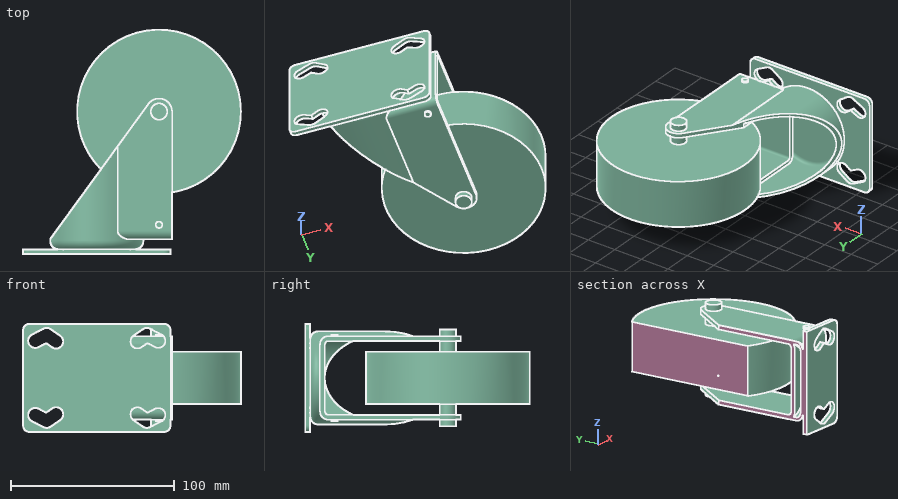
import cadquery as cq
import math


plate_length = 90.0
plate_width = 66.0
plate_thickness = 3.0
plate_corner_radius = 4.0

slot_diameter = 8.5
slot_outer_end = (37.5, 22.6)
slot_bend = (30.5, 26.2)
slot_inner_end = (24.8, 22.2)

wheel_radius = 50.0
wheel_width = 32.0
axle_x = 38.0
axle_y = 137 - wheel_radius
axle_diameter = 10.0
axle_length = 59.0

cup_radius = 28.5
cup_wall = 2.0
cup_bottom_fillet = 5.1

fork_width = 51.0
fork_wall = 3.0
fork_bottom_y = 9.0
fork_bend_radius = 5.1
fork_start_x = 8.5
arm_tip_radius = 8.0
fork_end_x = axle_x + arm_tip_radius
fork_top_y = axle_y + arm_tip_radius

slope_start_y = 9.2

rivet_y = 18.0
rivet_diameter = 4.0
rivet_projection = 1.0


def slot_leg(start, end):
    """Straight round-ended slot through the plate, from start to end in X, Z."""
    dx = end[0] - start[0]
    dz = end[1] - start[1]
    span = math.hypot(dx, dz)
    return (
        cq.Workplane("XZ")
        .center((start[0] + end[0]) / 2, (start[1] + end[1]) / 2)
        .slot2D(span + slot_diameter, slot_diameter, math.degrees(math.atan2(dz, dx)))
        .extrude(-plate_thickness)
    )


def mounting_plate():
    plate = (
        cq.Workplane("XZ")
        .rect(plate_length, plate_width)
        .extrude(-plate_thickness)
        .edges("|Y")
        .fillet(plate_corner_radius)
    )
    slot = slot_leg(slot_outer_end, slot_bend).union(slot_leg(slot_bend, slot_inner_end))
    slot_pair = slot.union(slot.mirror("YZ"))
    return plate.cut(slot_pair).cut(slot_pair.mirror("XY"))


def round_bottomed_cylinder(radius, bottom_y, fillet_radius):
    return (
        cq.Workplane("XZ", origin=(0, bottom_y, 0))
        .circle(radius)
        .extrude(bottom_y - fork_top_y)
        .faces("<Y")
        .edges()
        .fillet(fillet_radius)
    )


def channel_block(width, bottom_y, bend_radius):
    return (
        cq.Workplane("XY")
        .box(fork_end_x - fork_start_x, fork_top_y - bottom_y, width, centered=(False, False, True))
        .translate((fork_start_x, bottom_y, 0))
        .edges("|X and <Y")
        .fillet(bend_radius)
    )


def side_outline():
    """Block with the side outline of the fork: sloped edge, round arm tip, straight back."""
    run = axle_x + cup_radius
    rise = axle_y - slope_start_y
    slope = math.atan2(rise, run) + math.asin(arm_tip_radius / math.hypot(run, rise))
    mid_angle = (slope + math.pi / 2) / 2

    def tip_point(angle):
        return (axle_x + arm_tip_radius * math.cos(angle), axle_y + arm_tip_radius * math.sin(angle))

    return (
        cq.Workplane("XY")
        .moveTo(-cup_radius, plate_thickness)
        .lineTo(-cup_radius, slope_start_y)
        .lineTo(*tip_point(slope + math.pi / 2))
        .threePointArc(tip_point(mid_angle), tip_point(0))
        .lineTo(fork_end_x, plate_thickness)
        .close()
        .extrude(cup_radius, both=True)
    )


def fork():
    cup = round_bottomed_cylinder(cup_radius, plate_thickness, cup_bottom_fillet)
    cup_cavity = round_bottomed_cylinder(
        cup_radius - cup_wall, plate_thickness + cup_wall, cup_bottom_fillet - cup_wall
    )
    channel = channel_block(fork_width, fork_bottom_y, fork_bend_radius)
    channel_cavity = channel_block(
        fork_width - 2 * fork_wall, fork_bottom_y + fork_wall, fork_bend_radius - fork_wall
    )
    return cup.cut(cup_cavity).union(channel).cut(channel_cavity).intersect(side_outline())


def cross_cylinder(y, diameter, length):
    """Cylinder along Z, centred on the part and in line with the axle in X."""
    return cq.Workplane("XY").center(axle_x, y).circle(diameter / 2).extrude(length / 2, both=True)


def rivets():
    outer = cross_cylinder(rivet_y, rivet_diameter, fork_width + 2 * rivet_projection)
    gap = cross_cylinder(rivet_y, rivet_diameter, fork_width - 2 * fork_wall)
    return outer.cut(gap)


wheel = cross_cylinder(axle_y, 2 * wheel_radius, wheel_width)
axle = cross_cylinder(axle_y, axle_diameter, axle_length)

result = mounting_plate().union(fork()).union(rivets()).union(axle).union(wheel)